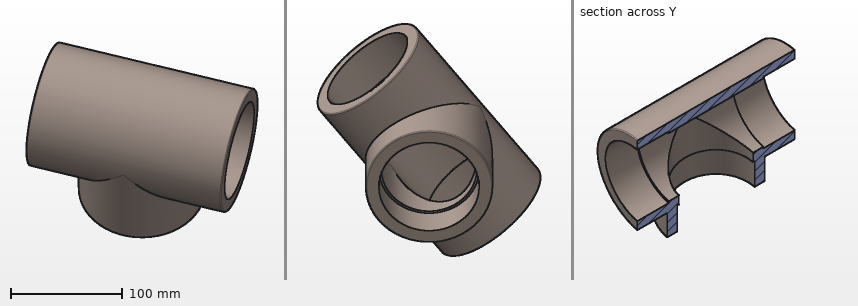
import cadquery as cq

run_length = 183.0
outer_diameter = 114.0
socket_diameter = 90.0
bore_diameter = 85.8
branch_reach = 87.8
shoulder_distance = 54.9
edge_radius = 1.0

half_run = run_length / 2


def cylinder_along(direction, diameter, start, stop):
    """Cylinder about a line through the origin, between two distances along it."""
    axis = cq.Vector(*direction)
    plane = cq.Plane(origin=axis * start, xDir=(0, 1, 0), normal=axis)
    return cq.Workplane(plane).circle(diameter / 2).extrude(stop - start)


left = (-1, 0, 0)
right = (1, 0, 0)
down = (0, 0, -1)

open_ends = [(left, half_run), (right, half_run), (down, branch_reach)]

run = cylinder_along(right, outer_diameter, -half_run, half_run)
run = run.faces("<X or >X").edges().fillet(edge_radius)
branch = cylinder_along(down, outer_diameter, 0, branch_reach)
branch = branch.faces("<Z").edges().fillet(edge_radius)
result = run.union(branch)

result = result.cut(cylinder_along(right, bore_diameter, -half_run, half_run))
result = result.cut(cylinder_along(down, bore_diameter, 0, branch_reach))

for direction, reach in open_ends:
    result = result.cut(cylinder_along(direction, socket_diameter, shoulder_distance, reach))